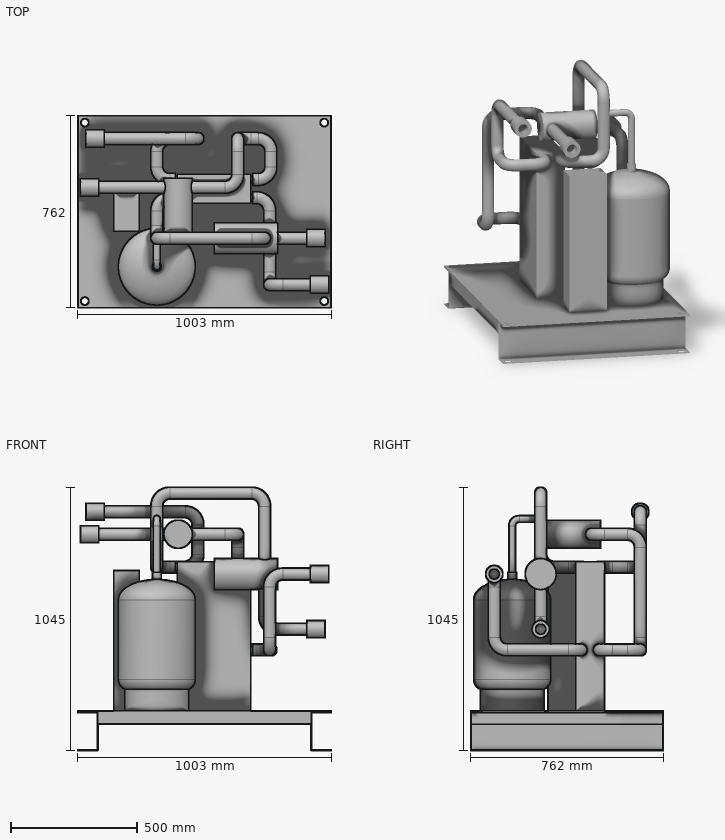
import cadquery as cq

base_length = 1003.0
base_width = 762.0
plate_top = 158.0
plate_thickness = 7.0
block_length = 848.0
block_bottom = 106.0
leg_sheet = 3.0
leg_bend_inner_radius = 2.0
hole_diameter = 30.0
hole_inset = 27.0

overall_height = 1045.0
pipe_radius = 24.0
bend_radius = 51.0
cap_radius = 35.0
cap_length = 73.0
cap_bore_radius = 20.0

exchanger_length = 292.0
exchanger_depth = 115.0
exchanger_center = (38.0, 92.0)
exchanger_top = 749.0
exchanger_left = exchanger_center[0] - exchanger_length / 2
exchanger_right = exchanger_center[0] + exchanger_length / 2
port_spacing = 72.0
port_back = exchanger_center[1] + port_spacing / 2
port_front = exchanger_center[1] - port_spacing / 2
port_high = 727.0
port_low = 399.0
port_radius = 14.0
port_length = 7.0
port_left = exchanger_left - port_length
port_right = exchanger_right + port_length

box_length = 102.0
box_depth = 153.0
box_center_x = -309.0
box_top = 715.0

compressor_x = -189.0
compressor_y = -217.0
skirt_radius = 127.0
shell_radius = 153.0
shell_bottom = 240.0
shell_corner_radius = 42.0
dome_start = 599.0
dome_top = 679.0
nozzle_radius = 18.0
nozzle_top = 707.0
discharge_pipe_radius = 14.0
discharge_bend_radius = 27.0
discharge_height = 918.0

filter_length = 251.0
filter_radius = 62.0
filter_start_x = 39.0
receiver_length = 220.0
receiver_radius = 56.0
receiver_x = -105.0
receiver_back_y = 134.0

back_run_y = 290.0
return_run_x = -189.0
gas_run_y = -105.0
gas_top = overall_height - pipe_radius
gas_drop_x = 238.0
gas_outlet_x = 479.0
gas_outlet_height = 482.0
filter_height = 700.0
suction_inlet_x = -470.0
suction_height = 947.0
suction_drop_x = -26.0
liquid_inlet_x = -492.0
liquid_y = 97.0
liquid_height = 858.0
liquid_drop_x = 132.0
liquid_loop_x = 263.0
water_x = 258.0
water_y = -288.0
water_outlet_x = 493.0


def cylinder(start, direction, length, radius):
    """Round bar of the given length, starting at a point and running along a direction."""
    return cq.Workplane(cq.Solid.makeCylinder(radius, length, cq.Vector(*start), cq.Vector(*direction)))


def block(length, depth, bottom, top, center_x=0.0, center_y=0.0):
    """Rectangular block between two heights, centred on (center_x, center_y)."""
    return (
        cq.Workplane("XY", origin=(center_x, center_y, bottom))
        .rect(length, depth)
        .extrude(top - bottom)
    )


def pipe(points, radius=pipe_radius, bend=bend_radius):
    """Round bar following straight runs between the points, with a rounded bend at each corner."""
    corners = [cq.Vector(*point) for point in points]
    path = cq.Wire.makePolygon(corners).fillet(bend)
    start_plane = cq.Plane(origin=corners[0], normal=corners[1] - corners[0])
    return cq.Workplane(start_plane).circle(radius).sweep(cq.Workplane(path))


def leg():
    """Left leg: a bent sheet with an upright web under the block edge and a foot pointing outward."""
    web_outer = -block_length / 2
    web_inner = web_outer + leg_sheet
    foot_end = -base_length / 2
    outer_radius = leg_bend_inner_radius + leg_sheet
    section = (
        cq.Workplane("XZ", origin=(0, base_width / 2, 0))
        .moveTo(foot_end, 0)
        .lineTo(web_inner - outer_radius, 0)
        .radiusArc((web_inner, outer_radius), -outer_radius)
        .lineTo(web_inner, block_bottom)
        .lineTo(web_outer, block_bottom)
        .lineTo(web_outer, outer_radius)
        .radiusArc((web_outer - leg_bend_inner_radius, leg_sheet), leg_bend_inner_radius)
        .lineTo(foot_end, leg_sheet)
        .close()
    )
    return section.extrude(base_width)


def base():
    """Plate, block and mirrored legs, with bolt holes through the plate and the feet."""
    plate = block(base_length, base_width, plate_top - plate_thickness, plate_top)
    body = plate.union(block(block_length, base_width, block_bottom, plate_top))
    left_leg = leg()
    body = body.union(left_leg).union(left_leg.mirror("YZ"))
    holes = (
        cq.Workplane("XY")
        .rect(base_length - 2 * hole_inset, base_width - 2 * hole_inset, forConstruction=True)
        .vertices()
        .circle(hole_diameter / 2)
        .extrude(plate_top)
    )
    return body.cut(holes)


def compressor():
    """Shell with a half-elliptical dome, on a narrower skirt and with a nozzle on top."""
    shell = (
        cq.Workplane("XZ")
        .moveTo(0, shell_bottom)
        .lineTo(shell_radius - shell_corner_radius, shell_bottom)
        .radiusArc((shell_radius, shell_bottom + shell_corner_radius), -shell_corner_radius)
        .lineTo(shell_radius, dome_start)
        .ellipseArc(shell_radius, dome_top - dome_start, 0, 90, startAtCurrent=True)
        .close()
        .revolve(360, (0, 0, 0), (0, 1, 0))
        .translate((compressor_x, compressor_y, 0))
    )
    foot = (compressor_x, compressor_y, plate_top)
    skirt = cylinder(foot, (0, 0, 1), shell_bottom + shell_corner_radius - plate_top, skirt_radius)
    neck = (compressor_x, compressor_y, dome_start)
    nozzle = cylinder(neck, (0, 0, 1), nozzle_top - dome_start, nozzle_radius)
    discharge = pipe(
        [
            neck,
            (compressor_x, compressor_y, discharge_height),
            (compressor_x, gas_run_y, discharge_height),
        ],
        discharge_pipe_radius,
        discharge_bend_radius,
    )
    return shell.union(skirt).union(nozzle).union(discharge)


def exchanger():
    """Upright block with two narrow ports high on the left and two low on the right."""
    body = block(exchanger_length, exchanger_depth, plate_top, exchanger_top, *exchanger_center)
    for port_y in (port_front, port_back):
        body = body.union(cylinder((port_left, port_y, port_high), (1, 0, 0), port_length, port_radius))
        body = body.union(cylinder((exchanger_right, port_y, port_low), (1, 0, 0), port_length, port_radius))
    return body


def capped_pipe(points, inward):
    """Pipe that starts in a bored end cap; inward is the X direction (+1 or -1) into the cap."""
    direction = (inward, 0, 0)
    cap = cylinder(points[0], direction, cap_length, cap_radius)
    bore = cylinder(points[0], direction, cap_length, cap_bore_radius)
    return pipe(points).union(cap).cut(bore)


suction_line = [
    (suction_inlet_x, back_run_y, suction_height),
    (suction_drop_x, back_run_y, suction_height),
    (suction_drop_x, back_run_y, port_high),
    (return_run_x, back_run_y, port_high),
    (return_run_x, port_back, port_high),
    (port_left, port_back, port_high),
]
liquid_line = [
    (liquid_inlet_x, liquid_y, liquid_height),
    (liquid_drop_x, liquid_y, liquid_height),
    (liquid_drop_x, back_run_y, liquid_height),
    (liquid_drop_x, back_run_y, port_low),
    (liquid_loop_x, back_run_y, port_low),
    (liquid_loop_x, port_back, port_low),
    (port_right, port_back, port_low),
]
gas_line = [
    (gas_outlet_x, gas_run_y, gas_outlet_height),
    (gas_drop_x, gas_run_y, gas_outlet_height),
    (gas_drop_x, gas_run_y, gas_top),
    (return_run_x, gas_run_y, gas_top),
    (return_run_x, gas_run_y, port_high),
    (return_run_x, port_front, port_high),
    (port_left, port_front, port_high),
]
water_line = [
    (water_outlet_x, water_y, filter_height),
    (water_x, water_y, filter_height),
    (water_x, water_y, port_low),
    (water_x, port_front, port_low),
    (port_right, port_front, port_low),
]

control_box = block(box_length, box_depth, plate_top, box_top, box_center_x)
filter_vessel = cylinder((filter_start_x, gas_run_y, filter_height), (1, 0, 0), filter_length, filter_radius)
receiver = cylinder((receiver_x, receiver_back_y, liquid_height), (0, -1, 0), receiver_length, receiver_radius)

result = base()
for feature in (
    exchanger(),
    control_box,
    compressor(),
    capped_pipe(suction_line, 1),
    capped_pipe(liquid_line, 1),
    capped_pipe(gas_line, -1),
    capped_pipe(water_line, -1),
    filter_vessel,
    receiver,
):
    result = result.union(feature)